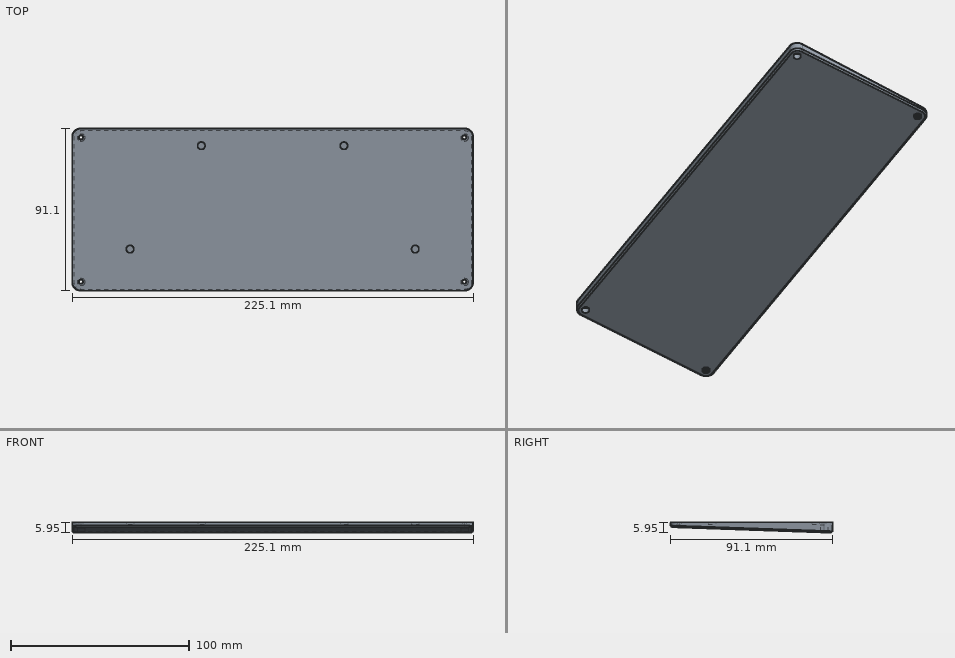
import cadquery as cq
import math

length = 225.12
width = 91.03
corner_radius = 5.0
bottom_chamfer = 1.0

tilt_degrees = 2.0
back_thickness = 5.95

screw_diameter = 2.2
screw_inset = 5.0
counterbore_diameter = 4.2
screw_seat_depth = 1.5

socket_diameter = 4.2
socket_depth = 1.0
back_socket_spacing = 80.0
back_socket_y = 35.8
front_socket_spacing = 160.0
front_socket_y = -22.2


def wedge_plate():
    """Rounded, chamfered plate tipped about X and cut level at Z = 0, centred on X and Y."""
    sine = math.sin(math.radians(tilt_degrees))
    cosine = math.cos(math.radians(tilt_degrees))
    lift = (width / 2 - bottom_chamfer) * sine - back_thickness
    back_wall_top = (width / 2 * sine - lift) / cosine
    centring_shift = -(back_wall_top + bottom_chamfer) / 2 * sine

    uncut_height = 2 * back_thickness
    plate = (
        cq.Workplane("XY")
        .rect(length, width)
        .extrude(uncut_height)
        .edges("|Z")
        .fillet(corner_radius)
        .faces("<Z")
        .chamfer(bottom_chamfer)
        .rotate((0, 0, 0), (1, 0, 0), -tilt_degrees)
        .translate((0, centring_shift, lift))
    )
    material_above = cq.Workplane("XY").rect(2 * length, 2 * width).extrude(2 * uncut_height)
    return plate.cut(material_above)


def cylinder_cutters(points, diameter, top, depth):
    """Vertical cylinders at the given points, reaching down from the height `top`."""
    return (
        cq.Workplane("XY", origin=(0, 0, top))
        .pushPoints(points)
        .circle(diameter / 2)
        .extrude(-depth)
    )


def screw_hole_cutters():
    """Through holes with counterbores open to the underside."""
    x = length / 2 - screw_inset
    y = width / 2 - screw_inset
    points = [(side * x, end * y) for side in (-1, 1) for end in (-1, 1)]
    holes = cylinder_cutters(points, screw_diameter, 0, back_thickness)
    counterbores = cylinder_cutters(points, counterbore_diameter, -screw_seat_depth, back_thickness)
    return holes.union(counterbores)


def socket_cutters():
    """Shallow round sockets: a narrow pair at the back and a wide pair at the front."""
    rows = (
        (back_socket_spacing, back_socket_y),
        (front_socket_spacing, front_socket_y),
    )
    points = [(side * spacing / 2, y) for spacing, y in rows for side in (-1, 1)]
    return cylinder_cutters(points, socket_diameter, 0, socket_depth)


result = wedge_plate().cut(screw_hole_cutters()).cut(socket_cutters())